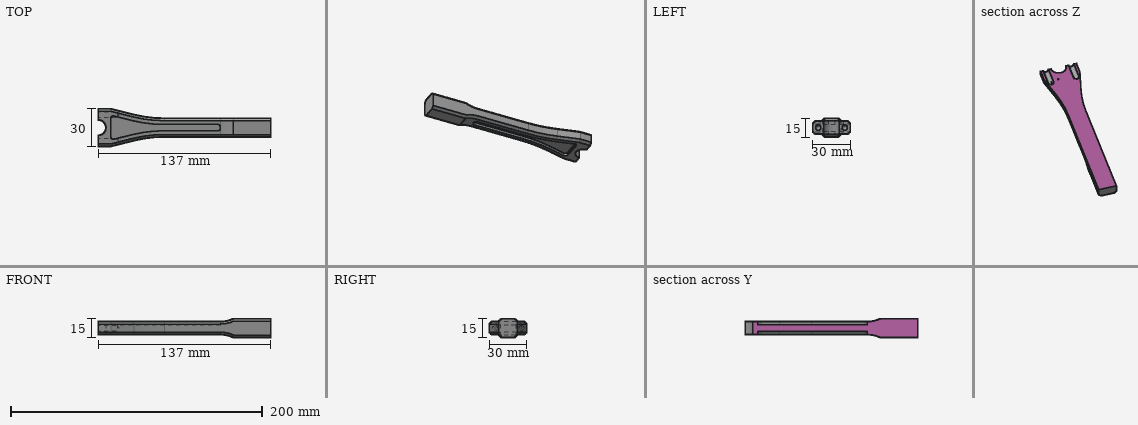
import cadquery as cq
import math

length = 137.0
fork_width = 30.0
grip_size = 15.0
shank_thickness = 10.5

fork_straight = 10.0
flare_corner = 40.0
grip_length = 30.0
shoulder_length = 10.0
grip_start = length - grip_length
shoulder_start = grip_start - shoulder_length

flare_radius = 100.0
edge_chamfer = 2.0

notch_diameter = 12.0
bolt_hole_diameter = 4.2
bolt_hole_spacing = 21.0
bolt_hole_depth = 15.0
drill_point_angle = 118.0

pocket_margin = 5.0
pocket_depth = 2.5
pocket_start = 10.0
pocket_end = shoulder_start
pocket_corner_radius = 2.0

flare_angle = math.atan2((fork_width - grip_size) / 2, flare_corner - fork_straight)


def make_plan_prism(upper_points, blend_radius):
    """Extrude a symmetric flared plan about Z = 0 and blend its two flare corners.

    The flare corner is the second last point of the upper half outline.
    """
    lower_points = [(x, -y) for x, y in reversed(upper_points)]
    prism = cq.Workplane("XY").polyline(upper_points + lower_points).close()
    prism = prism.extrude(grip_size / 2, both=True)
    corner_x, corner_y = upper_points[-2]
    for y in (corner_y, -corner_y):
        prism = prism.edges(cq.NearestToPointSelector((corner_x, y, 0))).fillet(blend_radius)
    return prism


def make_body():
    """Flared plan crossed with the stepped side profile, all long edges chamfered."""
    upper_plan = [
        (0, fork_width / 2),
        (fork_straight, fork_width / 2),
        (flare_corner, grip_size / 2),
        (length, grip_size / 2),
    ]
    plan = make_plan_prism(upper_plan, flare_radius)

    rise = (grip_size - shank_thickness) / 2
    shoulder_radius = (shoulder_length**2 + rise**2) / (2 * rise)
    half_sweep = math.asin(shoulder_length / shoulder_radius) / 2
    middle_x = shoulder_start + shoulder_radius * math.sin(half_sweep)
    middle_z = shank_thickness / 2 + shoulder_radius * (1 - math.cos(half_sweep))
    profile = (
        cq.Workplane("XZ")
        .moveTo(0, shank_thickness / 2)
        .lineTo(shoulder_start, shank_thickness / 2)
        .threePointArc((middle_x, middle_z), (grip_start, grip_size / 2))
        .lineTo(length, grip_size / 2)
        .lineTo(length, -grip_size / 2)
        .lineTo(grip_start, -grip_size / 2)
        .threePointArc((middle_x, -middle_z), (shoulder_start, -shank_thickness / 2))
        .lineTo(0, -shank_thickness / 2)
        .close()
        .extrude(fork_width / 2, both=True)
    )
    body = plan.intersect(profile)
    return body.edges("not (|Y or |Z)").chamfer(edge_chamfer)


def make_notch():
    """Half-round notch through the fork face."""
    return cq.Workplane("XY").circle(notch_diameter / 2).extrude(grip_size, both=True)


def make_bolt_hole(y):
    """Blind drilled hole with a conical bottom, entering the fork face."""
    radius = bolt_hole_diameter / 2
    point_length = radius / math.tan(math.radians(drill_point_angle / 2))
    return (
        cq.Workplane("XZ")
        .polyline([
            (0, 0),
            (0, radius),
            (bolt_hole_depth, radius),
            (bolt_hole_depth + point_length, 0),
        ])
        .close()
        .revolve(360, (0, 0), (1, 0))
        .translate((0, y, 0))
    )


def make_pocket():
    """Solid to cut for a pocket: the body outline moved inward by the margin, rounded at its ends."""
    half_width = grip_size / 2 - pocket_margin
    corner_x = flare_corner - pocket_margin * math.tan(flare_angle / 2)
    wide_half = half_width + (corner_x - pocket_start) * math.tan(flare_angle)
    upper_plan = [
        (pocket_start, wide_half),
        (corner_x, half_width),
        (pocket_end, half_width),
    ]
    prism = make_plan_prism(upper_plan, flare_radius + pocket_margin)
    end_corners = prism.edges("|Z").edges("<X or >X")
    return end_corners.fillet(pocket_corner_radius)


result = make_body().cut(make_notch())

pocket = make_pocket()
pocket_shift = grip_size / 2 + shank_thickness / 2 - pocket_depth
for side in (-1, 1):
    result = result.cut(make_bolt_hole(side * bolt_hole_spacing / 2))
    result = result.cut(pocket.translate((0, 0, side * pocket_shift)))